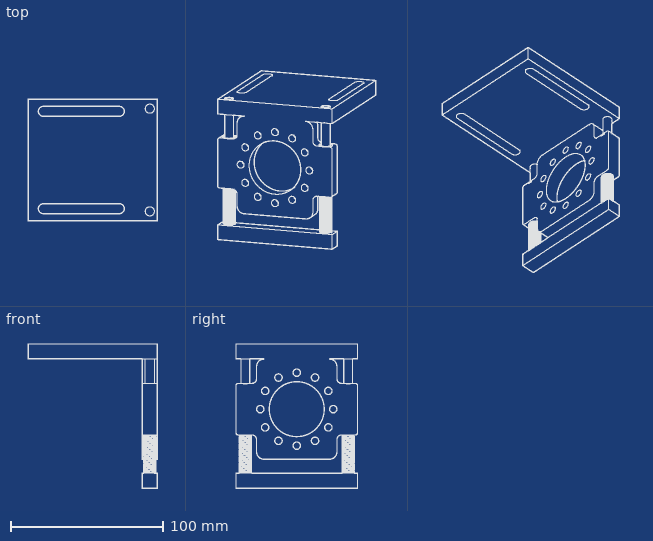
import cadquery as cq


length = 85.0
width = 80.0
height = 95.0
thickness = 10.0

slot_width = 6.4
slot_travel = 50.0
slot_first_center = 10.0
slot_y = 32.0

rod_diameter = 6.0
rod_x = -thickness / 2
rod_y = 33.75
rod_top_depth = 0.5

body_width = 53.0
body_height = 66.0
body_corner_radius = 5.0
wing_height = 34.0
wing_corner_radius = 1.5
inner_corner_radius = 3.0
carriage_z = -thickness - body_height / 2
wing_top_z = carriage_z + wing_height / 2
wing_bottom_z = carriage_z - wing_height / 2

bore_diameter = 36.0
hole_count = 12
hole_circle_diameter = 48.0
hole_diameter = 4.7
bushing_diameter = 9.0
bushing_top_depth = 0.3

spring_clearance = 0.1
spring_wire_depth = 1.0
spring_wire_height = 0.65
spring_pitch = 1.42
bar_top_z = -height + thickness
spring_radius = rod_diameter / 2 + spring_clearance + spring_wire_depth / 2


def make_top_plate():
    plate = cq.Workplane("XY").box(length, width, thickness, centered=(False, True, False))
    plate = plate.translate((-length, 0, -thickness))
    slot_x = -length + slot_first_center + slot_travel / 2
    slots = (
        cq.Workplane("XY")
        .pushPoints([(slot_x, -slot_y), (slot_x, slot_y)])
        .slot2D(slot_travel + slot_width, slot_width)
        .extrude(-thickness)
    )
    return plate.cut(slots)


def make_bottom_bar():
    bar = cq.Workplane("XY").box(thickness, width, thickness, centered=(False, True, False))
    return bar.translate((-thickness, 0, -height))


def make_carriage_openings():
    bore = cq.Workplane("YZ").circle(bore_diameter / 2).extrude(-thickness)
    holes = (
        cq.Workplane("YZ")
        .polarArray(hole_circle_diameter / 2, 0, 360, hole_count)
        .circle(hole_diameter / 2)
        .extrude(-thickness)
    )
    return bore.union(holes)


def make_carriage():
    body = cq.Workplane("YZ").rect(body_width, body_height).extrude(-thickness)
    body = body.edges("|X").fillet(body_corner_radius)
    wings = cq.Workplane("YZ").rect(width, wing_height).extrude(-thickness)
    wings = wings.edges("|X").fillet(wing_corner_radius)
    carriage = body.union(wings)
    box_y = (body_width + inner_corner_radius) / 2
    box_z = (wing_height + inner_corner_radius) / 2
    inner_corners = cq.selectors.BoxSelector((-thickness, -box_y, -box_z), (0, box_y, box_z))
    carriage = carriage.edges("|X").edges(inner_corners).fillet(inner_corner_radius)
    return carriage.cut(make_carriage_openings()).translate((0, 0, carriage_z))


def make_vertical_cylinder(diameter, y, top_z, bottom_z):
    base = cq.Workplane("XY", origin=(rod_x, y, bottom_z))
    return base.circle(diameter / 2).extrude(top_z - bottom_z)


def make_spring(y):
    """Right-handed coil of rectangular wire, its ends sunk into the bar and the carriage."""
    sunk_length = spring_wire_height
    spring_length = wing_bottom_z - bar_top_z + 2 * sunk_length
    coil = cq.Wire.makeHelix(spring_pitch, spring_length, spring_radius)
    wire = cq.Workplane("XZ").center(spring_radius, 0).rect(spring_wire_depth, spring_wire_height)
    spring = wire.sweep(cq.Workplane(obj=coil), isFrenet=True)
    return spring.translate((rod_x, y, bar_top_z - sunk_length))


frame = make_top_plate().union(make_bottom_bar()).union(make_carriage())
for y in (-rod_y, rod_y):
    rod_recess = make_vertical_cylinder(rod_diameter, y, 0, -rod_top_depth)
    bushing_recess = make_vertical_cylinder(bushing_diameter, y, wing_top_z, wing_top_z - bushing_top_depth)
    rod = make_vertical_cylinder(rod_diameter, y, -rod_top_depth, -height)
    frame = frame.cut(rod_recess).cut(bushing_recess).union(rod)

result = frame
for y in (-rod_y, rod_y):
    result = result.union(make_spring(y))